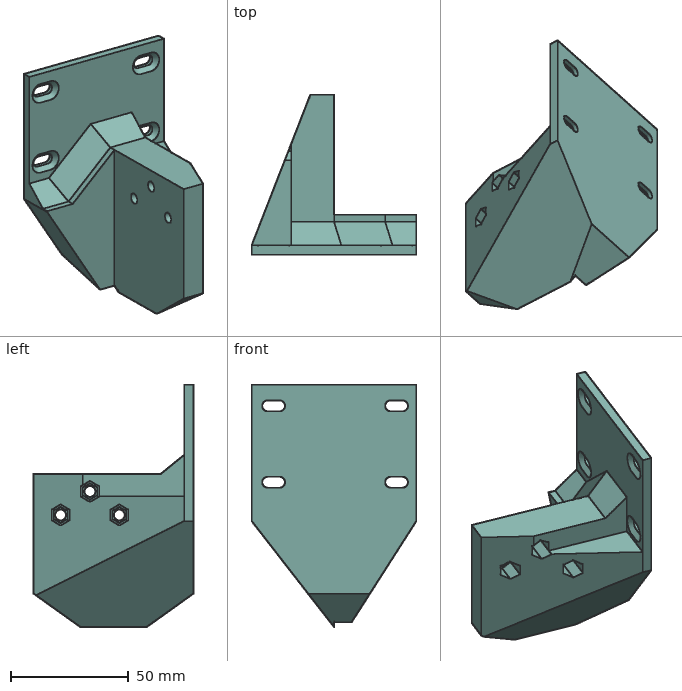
import cadquery as cq
import math

width = 70.0
depth = 68.0
height = 103.0

plate_thickness = 4.0
shoulder_height = 45.0
bottom_left_x = width / 2
bottom_right_x = 41.2

bevel_length = 19.9
bevel_height = 14.2

arm_right_x = width / 2
arm_rear_left_x = 24.9
arm_top = 65.0

recess_width = 16.8
recess_floor = 55.5

backing_rear = 17.1
step_end_x = 56.8
step_drop = 19.6

ramp_length = 10.0
ramp_rise = 8.1

slot_length = 9.6
slot_width = 4.5
slot_lip = 2.0
countersink_slope_angle = 45
slot_left_x = 9.4
slot_spacing_x = 52.2
slot_bottom_z = 61.5
slot_spacing_z = 32.4

screw_diameter = 4.5
nut_flats = 7.7
inner_nut_flats = 6.0
nut_floor_x = 29.0
inner_nut_floor_x = 30.0
screw_center_y = 44.0
screw_low_z = 47.6
screw_high_z = 57.6
screw_half_spacing = 12.5
screw_positions = [
    (screw_center_y - screw_half_spacing, screw_low_z),
    (screw_center_y, screw_high_z),
    (screw_center_y + screw_half_spacing, screw_low_z),
]


def prism_along_y(points, y_start, y_end):
    """Extrude an outline of (x, z) points from y_start to y_end."""
    plane = cq.Workplane("XZ", origin=(0, y_start, 0))
    return plane.polyline(points).close().extrude(y_start - y_end)


def make_plate():
    return cq.Workplane("XY").box(width, plate_thickness, height, centered=False)


def make_arm():
    outline = [
        (0, plate_thickness),
        (arm_right_x, plate_thickness),
        (arm_right_x, depth),
        (arm_rear_left_x, depth),
    ]
    arm = cq.Workplane("XY").polyline(outline).close().extrude(arm_top)
    recess = cq.Workplane("XY").box(recess_width, depth, height, centered=False)
    return arm.cut(recess.translate((0, 0, recess_floor)))


def make_backing():
    low_top = arm_top - step_drop
    outline = [
        (arm_right_x, 0),
        (arm_right_x, arm_top),
        (step_end_x, low_top),
        (width, low_top),
        (width, 0),
    ]
    return prism_along_y(outline, plate_thickness, backing_rear)


def ramp_section(rise):
    """Outline of the ramp, with its stepped top raised and its bends moved to keep parallel faces."""
    incline = math.atan2(step_drop, step_end_x - arm_right_x)
    shift = rise * math.tan(incline / 2)
    high = arm_top + rise
    low = high - step_drop
    return [
        (recess_width, shoulder_height),
        (recess_width, high),
        (arm_right_x + shift, high),
        (step_end_x + shift, low),
        (width, low),
        (width, shoulder_height),
    ]


def make_ramp():
    """Blend the raised top at the plate into the backing top."""
    return (
        cq.Workplane("XZ", origin=(0, plate_thickness, 0))
        .polyline(ramp_section(ramp_rise)).close()
        .workplane(offset=-ramp_length)
        .polyline(ramp_section(0)).close()
        .loft(ruled=True)
    )


def make_front_envelope():
    outline = [
        (0, height),
        (width, height),
        (width, shoulder_height),
        (bottom_right_x, 0),
        (bottom_left_x, 0),
        (0, shoulder_height),
    ]
    return prism_along_y(outline, 0, depth)


def make_side_envelope():
    outline = [
        (0, height),
        (0, bevel_height),
        (bevel_length, 0),
        (depth - bevel_length, 0),
        (depth, bevel_height),
        (depth, height),
    ]
    return cq.Workplane("YZ").polyline(outline).close().extrude(width)


def slot_plane(y):
    """A plane at the given y, facing the front, with a point at each slot center."""
    centers = [
        (slot_left_x + column * slot_spacing_x, slot_bottom_z + row * slot_spacing_z)
        for column in range(2)
        for row in range(2)
    ]
    return cq.Workplane("XZ", origin=(0, y, 0)).pushPoints(centers)


def make_slots():
    return slot_plane(plate_thickness).slot2D(slot_length, slot_width).extrude(plate_thickness)


def make_countersinks():
    """Slots that narrow from the back of the plate to the lip."""
    sink_depth = plate_thickness - slot_lip
    growth = 2 * sink_depth * math.tan(math.radians(countersink_slope_angle))
    mouths = slot_plane(plate_thickness).slot2D(slot_length + growth, slot_width + growth)
    return mouths.extrude(sink_depth, taper=countersink_slope_angle)


def make_hex_pockets(flats, floor_x):
    """Hexagonal pockets from the left, with a corner pointing up."""
    corner_diameter = flats / math.cos(math.pi / 6)
    hexagon = cq.Sketch().regularPolygon(corner_diameter / 2, 6)
    return cq.Workplane("YZ").pushPoints(screw_positions).placeSketch(hexagon).extrude(floor_x)


def make_screw_holes():
    plane = cq.Workplane("YZ").pushPoints(screw_positions)
    return plane.circle(screw_diameter / 2).extrude(arm_right_x)


body = make_plate().union(make_arm()).union(make_backing()).union(make_ramp())
body = body.intersect(make_front_envelope()).intersect(make_side_envelope())

result = (
    body.cut(make_slots())
    .cut(make_countersinks())
    .cut(make_hex_pockets(nut_flats, nut_floor_x))
    .cut(make_hex_pockets(inner_nut_flats, inner_nut_floor_x))
    .cut(make_screw_holes())
)